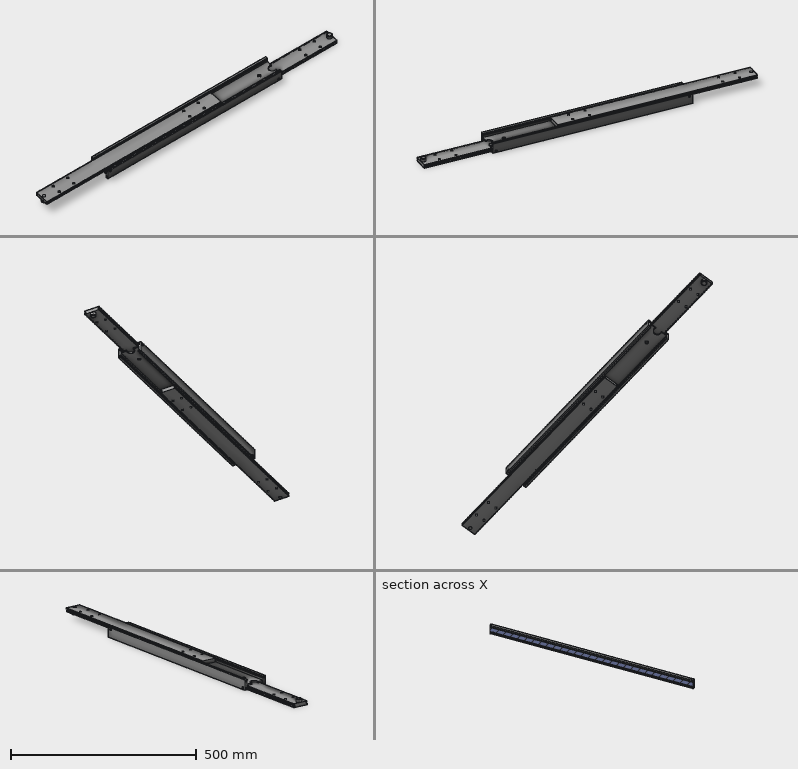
import cadquery as cq


rail_length = 600.0
slide_travel = 200.0
overall_height = 32.0
channel_gap = 10.0

middle_width = 70.0
middle_height = 29.0
web_thickness = 4.0
lip_thickness = 2.0
lip_opening = 52.0
groove_width = 60.0
channel_width = 54.0
step_height = 8.0

notch_diameter = 22.0
notch_inset = 5.0
web_hole_diameter = 9.0
web_hole_inset = 50.0
side_hole_diameter = 6.0
side_hole_inset = 10.0
side_hole_height = 10.0

plate_width = 45.0
plate_thickness = 3.0
waist_width = 40.0
shoulder_height = 11.0
foot_width = 44.0

screw_hole_diameter = 6.0
screw_hole_spacing = 26.0
screw_pair_pitch = 50.0
screw_end_inset = 50.0

pin_inset = 8.0
pin_diameter = 9.0
pin_head_diameter = 16.0
pin_head_chamfer = 2.0

middle_end = rail_length / 2
slide_outer_end = -(middle_end + slide_travel)
slide_inner_end = slide_outer_end + rail_length
slide_bottom = channel_gap / 2
slide_top = overall_height / 2
pin_y = slide_outer_end + pin_inset


def mirrored_in_x(right_points):
    """Closed loop from the right half of an outline that is symmetric in X."""
    left_points = [(-x, z) for x, z in reversed(right_points)]
    return right_points + left_points


def vertical_cylinder(x, y, diameter):
    """Cutter along Z that is taller than every body."""
    return cq.Workplane("XY").center(x, y).circle(diameter / 2).extrude(overall_height, both=True)


def make_middle_rail():
    """H-shaped rail whose walls carry lips and steps around both channels."""
    web_top = web_thickness / 2
    top = middle_height / 2
    lip_bottom = top - lip_thickness
    upper_right = [
        (channel_width / 2, web_top),
        (channel_width / 2, step_height),
        (groove_width / 2, step_height),
        (groove_width / 2, lip_bottom),
        (lip_opening / 2, lip_bottom),
        (lip_opening / 2, top),
        (middle_width / 2, top),
    ]
    lower_right = [(x, -z) for x, z in reversed(upper_right)]
    rail = (
        cq.Workplane("XZ")
        .polyline(mirrored_in_x(upper_right + lower_right))
        .close()
        .extrude(middle_end, both=True)
    )
    for end in (-1, 1):
        notch_y = end * (middle_end - notch_inset)
        web_hole_y = end * (middle_end - web_hole_inset)
        rail = rail.cut(vertical_cylinder(0, notch_y, notch_diameter))
        rail = rail.cut(vertical_cylinder(0, web_hole_y, web_hole_diameter))
        rail = rail.cut(make_side_hole(end))
    return rail


def make_side_hole(end):
    """Cutter along X through both walls, level with the slide that leaves that end."""
    hole_y = end * (middle_end - side_hole_inset)
    hole_z = -end * side_hole_height
    return (
        cq.Workplane("YZ")
        .center(hole_y, hole_z)
        .circle(side_hole_diameter / 2)
        .extrude(middle_width, both=True)
    )


def make_slide():
    """Upper slide, run out towards -Y."""
    plate_bottom = slide_top - plate_thickness
    right_half = [
        (foot_width / 2, slide_bottom),
        (foot_width / 2, step_height),
        (waist_width / 2, step_height),
        (waist_width / 2, shoulder_height),
        (plate_width / 2, plate_bottom),
        (plate_width / 2, slide_top),
    ]
    slide = (
        cq.Workplane("XZ", origin=(0, slide_inner_end, 0))
        .polyline(mirrored_in_x(right_half))
        .close()
        .extrude(rail_length)
    )
    first_row = slide_outer_end + screw_end_inset
    last_row = slide_inner_end - screw_end_inset
    for row_y in (first_row, first_row + screw_pair_pitch, last_row - screw_pair_pitch, last_row):
        for side in (-1, 1):
            hole_x = side * screw_hole_spacing / 2
            slide = slide.cut(vertical_cylinder(hole_x, row_y, screw_hole_diameter))
    return slide.cut(vertical_cylinder(0, pin_y, pin_diameter))


def make_stop_pin():
    """Pin of the upper slide: chamfered head below the slide, shank flush with its top."""
    head = (
        cq.Workplane("XY", origin=(0, pin_y, -slide_bottom))
        .circle(pin_head_diameter / 2)
        .extrude(channel_gap)
        .faces("<Z")
        .chamfer(pin_head_chamfer)
    )
    shank = (
        cq.Workplane("XY", origin=(0, pin_y, 0))
        .circle(pin_diameter / 2)
        .extrude(slide_top)
    )
    return head.union(shank)


middle_rail = make_middle_rail()
slides = []
stop_pins = []
for turn in (0, 180):
    slides.append(make_slide().rotate((0, 0, 0), (1, 0, 0), turn).val())
    stop_pins.append(make_stop_pin().rotate((0, 0, 0), (1, 0, 0), turn).val())

result = cq.Compound.makeCompound([middle_rail.val(), *slides, *stop_pins])